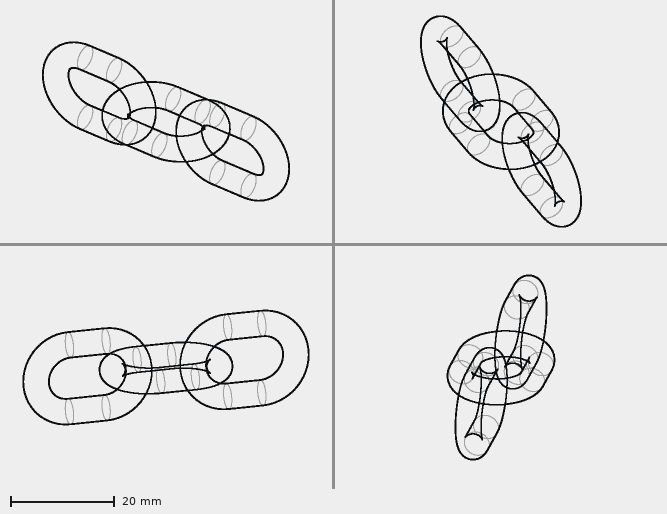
import cadquery as cq

chain_length = 58.0
wire_diameter = 5.0
wide_link_width = 19.0
narrow_link_width = 18.5
left_straight = 6.95
middle_straight = 7.1
right_straight = 7.5

left_center_x = (wide_link_width + left_straight - chain_length) / 2
right_center_x = (chain_length - narrow_link_width - right_straight) / 2


def make_link(center_x, width, straight):
    """Upright oval link: a round wire swept along two straights and two half circles."""
    bend_radius = (width - wire_diameter) / 2
    half_straight = straight / 2
    path = (
        cq.Workplane("XZ")
        .moveTo(-half_straight, bend_radius)
        .lineTo(half_straight, bend_radius)
        .threePointArc((half_straight + bend_radius, 0), (half_straight, -bend_radius))
        .lineTo(-half_straight, -bend_radius)
        .threePointArc((-half_straight - bend_radius, 0), (-half_straight, bend_radius))
        .close()
    )
    link = (
        cq.Workplane("YZ", origin=(-half_straight, 0, bend_radius))
        .circle(wire_diameter / 2)
        .sweep(path)
    )
    return link.translate((center_x, 0, 0))


left_link = make_link(left_center_x, wide_link_width, left_straight)
right_link = make_link(right_center_x, narrow_link_width, right_straight)

middle_link = make_link(0, wide_link_width, middle_straight).rotate((0, 0, 0), (1, 0, 0), 90)

result = cq.Compound.makeCompound([left_link.val(), middle_link.val(), right_link.val()])